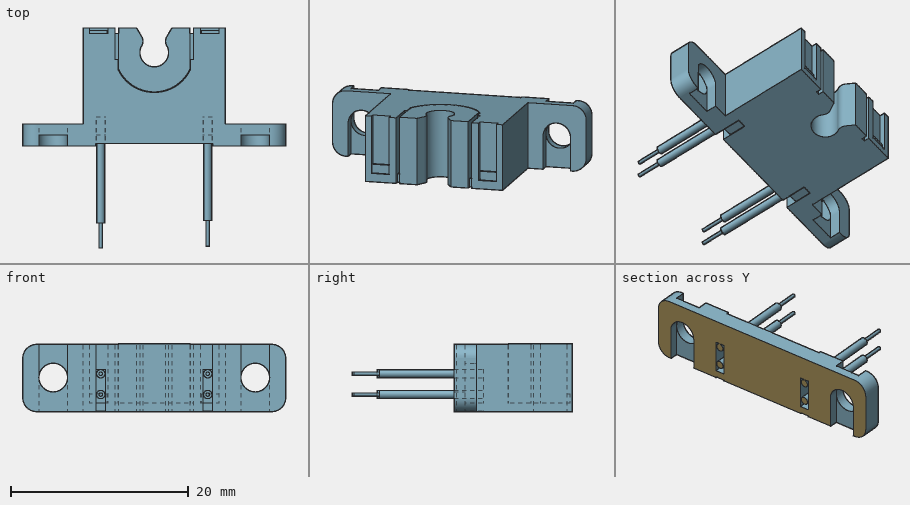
import cadquery as cq
import math

CASE_WIDTH = 16.0
CASE_HEIGHT = 7.6
FLANGE_WIDTH = 29.59
FLANGE_BACK = 10.8
FLANGE_THICKNESS = 2.5
FLANGE_FRONT = FLANGE_BACK + FLANGE_THICKNESS
FLANGE_CORNER_RADIUS = 1.6
BASE_THICKNESS = 0.98

HOLE_X = 11.36
HOLE_DIAMETER = 3.2
HOLE_Z = 3.85
HOLE_SLOT_DEPTH = FLANGE_THICKNESS / 2

RECESS_HALF_WIDTH = 6.55
RECESS_DEPTH = 0.28
RECESS_FACE = FLANGE_FRONT - RECESS_DEPTH

INSERT_HALF_WIDTH = 4.0
INSERT_RADIUS = 4.42
INSERT_GAP = 0.08
INSERT_RAISE = 0.1
CHANNEL_OUTER_X = 4.39
CHANNEL_LENGTH = 3.57
CHANNEL_OPEN_LENGTH = 0.62

MOUTH_RADIUS = 1.6
MOUTH_Y = 2.77
MOUTH_HALF_WIDTH = 1.98
THROAT_HALF_WIDTH = 1.26
THROAT_Y = 1.6
THROAT_START_X = 1.36
THROAT_START_Y = 1.05
THROAT_END_Y = 2.12

NOTCH_INNER_X = 5.21
NOTCH_OUTER_X = 7.29
NOTCH_DEPTH = 0.62
LEDGE_START = 0.29
LEDGE_HEIGHT = 1.0
LEDGE_SIDE_GAP = 0.1

OUTLET_INNER_X = 5.48
OUTLET_TOP = 4.75
OUTLET_DEPTH = 3.0
SILL_SETBACK = 0.97
SILL_UNDERCUT = 0.09

LEAD_X = 6.015
LEAD_LEVELS = (1.94, 4.28)
SLEEVE_DIAMETER = 0.94
CORE_DIAMETER = 0.4
LEFT_SLEEVE_END = 21.95
LEFT_CORE_END = 24.77
RIGHT_SLEEVE_END = 21.68
RIGHT_CORE_END = 24.57

SIDES = (-1, 1)


def block(x_first, x_second, y_back, y_front, z_low, z_high):
    """Box between two X positions, two distances from the sensing face and two heights."""
    size = (abs(x_second - x_first), y_front - y_back, z_high - z_low)
    corner = (min(x_first, x_second), -y_front, z_low)
    return cq.Workplane("XY").box(*size, centered=False).translate(corner)


def rod(x, z, diameter, y_back, y_front):
    """Round rod along Y between two distances from the sensing face."""
    profile = cq.Workplane("XZ", origin=(x, -y_back, z)).circle(diameter / 2)
    return profile.extrude(y_front - y_back)


def u_prism(half_width, radius, z_low, z_high):
    """U-shaped prism open at the sensing face, its arc concentric with the keyhole."""
    shoulder = -MOUTH_Y - math.sqrt(radius**2 - half_width**2)
    return (
        cq.Workplane("XY", origin=(0, 0, z_low))
        .moveTo(-half_width, 0)
        .lineTo(-half_width, shoulder)
        .threePointArc((0, -MOUTH_Y - radius), (half_width, shoulder))
        .lineTo(half_width, 0)
        .close()
        .extrude(z_high - z_low)
    )


def make_flange():
    flange = block(-FLANGE_WIDTH / 2, FLANGE_WIDTH / 2, FLANGE_BACK, FLANGE_FRONT, 0, CASE_HEIGHT)
    flange = flange.edges("|Y").fillet(FLANGE_CORNER_RADIUS)
    radius = HOLE_DIAMETER / 2
    front_slot_back = FLANGE_FRONT - HOLE_SLOT_DEPTH
    rear_slot_front = FLANGE_BACK + HOLE_SLOT_DEPTH
    for side in SIDES:
        x = side * HOLE_X
        flange = flange.cut(rod(x, HOLE_Z, HOLE_DIAMETER, FLANGE_BACK, FLANGE_FRONT))
        front_slot = block(x - radius, x + radius, front_slot_back, FLANGE_FRONT, HOLE_Z, CASE_HEIGHT)
        rear_slot = block(x - radius, x + radius, FLANGE_BACK, rear_slot_front, 0, HOLE_Z)
        flange = flange.cut(front_slot).cut(rear_slot)
    return flange


def make_case():
    case = block(-CASE_WIDTH / 2, CASE_WIDTH / 2, 0, FLANGE_FRONT, 0, CASE_HEIGHT)
    case = case.union(make_flange())
    recess = block(-RECESS_HALF_WIDTH, RECESS_HALF_WIDTH, RECESS_FACE, FLANGE_FRONT, 0, CASE_HEIGHT)
    return case.cut(recess)


def make_keyhole():
    end_x = math.sqrt(MOUTH_RADIUS**2 - (MOUTH_Y - THROAT_END_Y) ** 2)
    return (
        cq.Workplane("XY")
        .moveTo(-MOUTH_HALF_WIDTH, 0)
        .lineTo(-THROAT_START_X, -THROAT_START_Y)
        .threePointArc((-THROAT_HALF_WIDTH, -THROAT_Y), (-end_x, -THROAT_END_Y))
        .threePointArc((0, -MOUTH_Y - MOUTH_RADIUS), (end_x, -THROAT_END_Y))
        .threePointArc((THROAT_HALF_WIDTH, -THROAT_Y), (THROAT_START_X, -THROAT_START_Y))
        .lineTo(MOUTH_HALF_WIDTH, 0)
        .close()
        .extrude(CASE_HEIGHT + INSERT_RAISE)
    )


def add_insert(case):
    pocket = u_prism(
        INSERT_HALF_WIDTH + INSERT_GAP, INSERT_RADIUS + INSERT_GAP, BASE_THICKNESS, CASE_HEIGHT
    )
    insert = u_prism(INSERT_HALF_WIDTH, INSERT_RADIUS, 0, CASE_HEIGHT + INSERT_RAISE)
    case = case.cut(pocket)
    for side in SIDES:
        inner = side * INSERT_HALF_WIDTH
        outer = side * CHANNEL_OUTER_X
        case = case.cut(block(inner, outer, 0, CHANNEL_LENGTH, BASE_THICKNESS, CASE_HEIGHT))
        case = case.cut(block(inner, outer, 0, CHANNEL_OPEN_LENGTH, 0, CASE_HEIGHT))
    return case.union(insert).cut(make_keyhole())


def cut_notch(case, side):
    inner = side * NOTCH_INNER_X
    outer = side * NOTCH_OUTER_X
    ledge_inner = side * (NOTCH_INNER_X + LEDGE_SIDE_GAP)
    ledge_top = BASE_THICKNESS + LEDGE_HEIGHT
    notch = block(inner, outer, 0, NOTCH_DEPTH, BASE_THICKNESS, CASE_HEIGHT)
    ledge = block(ledge_inner, outer, LEDGE_START, NOTCH_DEPTH, BASE_THICKNESS, ledge_top)
    return case.cut(notch.cut(ledge))


def cut_wire_outlet(case, side):
    inner = side * OUTLET_INNER_X
    outer = side * RECESS_HALF_WIDTH
    back = RECESS_FACE - OUTLET_DEPTH
    sill_front = RECESS_FACE - SILL_SETBACK
    outlet = block(inner, outer, back, RECESS_FACE, 0, OUTLET_TOP)
    sill = block(inner, outer, back, sill_front, SILL_UNDERCUT, BASE_THICKNESS)
    return case.cut(outlet.cut(sill))


def add_leads(case, side, sleeve_end, core_end):
    root = RECESS_FACE - OUTLET_DEPTH
    for level in LEAD_LEVELS:
        case = case.union(rod(side * LEAD_X, level, SLEEVE_DIAMETER, root, sleeve_end))
        case = case.union(rod(side * LEAD_X, level, CORE_DIAMETER, root, core_end))
    return case


result = add_insert(make_case())
for side in SIDES:
    result = cut_notch(result, side)
    result = cut_wire_outlet(result, side)
result = add_leads(result, -1, LEFT_SLEEVE_END, LEFT_CORE_END)
result = add_leads(result, 1, RIGHT_SLEEVE_END, RIGHT_CORE_END)